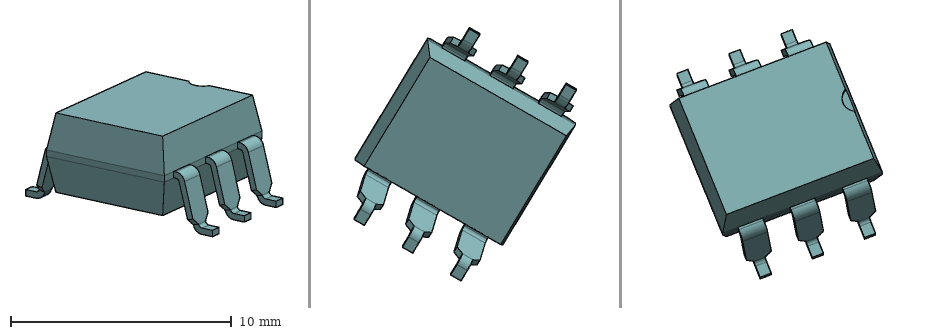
import cadquery as cq
import math

SPAN_X = 10.3
HEIGHT = 4.6

BODY_X = 6.5
BODY_Y = 7.8
BODY_BOTTOM = 0.8
DRAFT_ANGLE = 10.0
NOTCH_RADIUS = 0.64
NOTCH_DEPTH = 0.3

LEAD_THICKNESS = 0.31
LEAD_WIDTH = 1.22
FOOT_WIDTH = 0.55
LEAD_PITCH = 2.54
LEADS_PER_SIDE = 3
LEG_LEAN = 15.0
BEND_INNER_RADIUS = 0.2
SHOULDER_FLAT = 0.11

BAND_HEIGHT = LEAD_THICKNESS
HALF_HEIGHT = (HEIGHT - BODY_BOTTOM - BAND_HEIGHT) / 2
BAND_BOTTOM = BODY_BOTTOM + HALF_HEIGHT
BAND_TOP = BAND_BOTTOM + BAND_HEIGHT
BEND_OUTER_RADIUS = BEND_INNER_RADIUS + LEAD_THICKNESS
BEND_MID_RADIUS = (BEND_INNER_RADIUS + BEND_OUTER_RADIUS) / 2


def make_body():
    """Package body with drafted halves and the pin-one notch in its +Y top edge."""
    band = cq.Workplane("XY").workplane(offset=BAND_BOTTOM).rect(BODY_X, BODY_Y).extrude(BAND_HEIGHT)
    upper = (
        cq.Workplane("XY").workplane(offset=BAND_TOP)
        .rect(BODY_X, BODY_Y).extrude(HALF_HEIGHT, taper=DRAFT_ANGLE)
    )
    lower = (
        cq.Workplane("XY").workplane(offset=BAND_BOTTOM)
        .rect(BODY_X, BODY_Y).extrude(-HALF_HEIGHT, taper=DRAFT_ANGLE)
    )
    notch = (
        cq.Workplane("XY").workplane(offset=HEIGHT - NOTCH_DEPTH)
        .center(0, BODY_Y / 2).circle(NOTCH_RADIUS).extrude(NOTCH_DEPTH)
    )
    return band.union(upper).union(lower).cut(notch)


def polar_point(center, radius, angle):
    """Point at a radius and an angle in degrees from a center."""
    turn = math.radians(angle)
    return (center[0] + radius * math.cos(turn), center[1] + radius * math.sin(turn))


UPPER_BEND = (-BODY_X / 2 - SHOULDER_FLAT, BAND_TOP - BEND_OUTER_RADIUS)
BEND_DROP = UPPER_BEND[1] - BEND_OUTER_RADIUS
LEAN = math.radians(LEG_LEAN)
BEND_OFFSET = BEND_DROP * math.tan(LEAN) + 2 * BEND_MID_RADIUS / math.cos(LEAN)
LOWER_BEND = (UPPER_BEND[0] - BEND_OFFSET, BEND_OUTER_RADIUS)

UPPER_START = 90.0
UPPER_END = 180.0 - LEG_LEAN
UPPER_MIDDLE = (UPPER_START + UPPER_END) / 2
LOWER_START = -LEG_LEAN
LOWER_END = -90.0
LOWER_MIDDLE = (LOWER_START + LOWER_END) / 2


def make_lead_strip():
    """Bent strip of full lead width on the -X side, centered on Y = 0."""
    body_side = -BODY_X / 2
    foot_tip = -SPAN_X / 2
    return (
        cq.Workplane("XZ")
        .moveTo(body_side, BAND_TOP)
        .lineTo(*polar_point(UPPER_BEND, BEND_OUTER_RADIUS, UPPER_START))
        .threePointArc(
            polar_point(UPPER_BEND, BEND_OUTER_RADIUS, UPPER_MIDDLE),
            polar_point(UPPER_BEND, BEND_OUTER_RADIUS, UPPER_END),
        )
        .lineTo(*polar_point(LOWER_BEND, BEND_INNER_RADIUS, LOWER_START))
        .threePointArc(
            polar_point(LOWER_BEND, BEND_INNER_RADIUS, LOWER_MIDDLE),
            polar_point(LOWER_BEND, BEND_INNER_RADIUS, LOWER_END),
        )
        .lineTo(foot_tip, LEAD_THICKNESS)
        .lineTo(foot_tip, 0)
        .lineTo(*polar_point(LOWER_BEND, BEND_OUTER_RADIUS, LOWER_END))
        .threePointArc(
            polar_point(LOWER_BEND, BEND_OUTER_RADIUS, LOWER_MIDDLE),
            polar_point(LOWER_BEND, BEND_OUTER_RADIUS, LOWER_START),
        )
        .lineTo(*polar_point(UPPER_BEND, BEND_INNER_RADIUS, UPPER_END))
        .threePointArc(
            polar_point(UPPER_BEND, BEND_INNER_RADIUS, UPPER_MIDDLE),
            polar_point(UPPER_BEND, BEND_INNER_RADIUS, UPPER_START),
        )
        .lineTo(body_side, BAND_BOTTOM)
        .close()
        .extrude(LEAD_WIDTH / 2, both=True)
    )


def make_lead():
    """Lead narrowed to the foot width by 45 degree shoulders that end at the lower bend."""
    shoulder = (LEAD_WIDTH - FOOT_WIDTH) / 2
    trim_reach = SPAN_X / 4
    leg_plane = cq.Plane(
        origin=(LOWER_BEND[0], 0, LOWER_BEND[1]),
        xDir=(0, -1, 0),
        normal=(-math.cos(LEAN), 0, math.sin(LEAN)),
    )
    side_trim = (
        cq.Workplane(leg_plane)
        .polyline([
            (FOOT_WIDTH / 2, -trim_reach),
            (FOOT_WIDTH / 2, 0),
            (LEAD_WIDTH / 2, shoulder),
            (LEAD_WIDTH / 2, -trim_reach),
        ])
        .close()
        .extrude(trim_reach, both=True)
    )
    return make_lead_strip().cut(side_trim).cut(side_trim.mirror("XZ"))


body = make_body()

lead = make_lead()
leads = []
for row in range(LEADS_PER_SIDE):
    row_y = (row - (LEADS_PER_SIDE - 1) / 2) * LEAD_PITCH
    for side_turn in (0, 180):
        turned_lead = lead.rotate((0, 0, 0), (0, 0, 1), side_turn)
        leads.append(turned_lead.translate((0, row_y, 0)).val())

result = cq.Compound.makeCompound([body.val(), *leads])